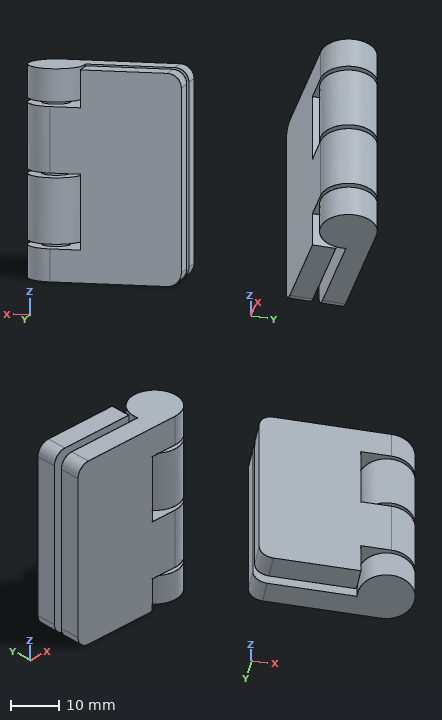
import cadquery as cq

height = 45.0
width = 34.0
barrel_diameter = 12.0

leaf_thickness = 5.0
corner_radius = 3.0
notch_clearance = 0.5

knuckle_gap = 1.0
pin_radius = 3.0

barrel_radius = barrel_diameter / 2
free_edge_x = barrel_radius - width
plate_end_x = -(barrel_radius + notch_clearance)
full_knuckle = (height - 3 * knuckle_gap) / 3
end_knuckle = full_knuckle / 2


def box(x_start, x_end, y_start, y_end, z_start, z_end):
    size = (x_end - x_start, y_end - y_start, z_end - z_start)
    return cq.Workplane("XY").box(*size, centered=False).translate((x_start, y_start, z_start))


def front_plate():
    """Flat leaf with its two free corners rounded."""
    plate = box(free_edge_x, plate_end_x, -barrel_radius, leaf_thickness - barrel_radius, 0, height)
    return plate.edges("|Y and <X").fillet(corner_radius)


def front_knuckle(bottom, length):
    """Barrel section joined to the leaf along its tangent, with a square inner shoulder."""
    barrel = cq.Workplane("XY").workplane(offset=bottom).circle(barrel_radius).extrude(length)
    bridge = box(plate_end_x, 0, -barrel_radius, leaf_thickness - barrel_radius, bottom, bottom + length)
    shoulder = box(-barrel_radius, 0, -barrel_radius, 0, bottom, bottom + length)
    return barrel.union(bridge).union(shoulder)


front_leaf = front_plate()
rear_leaf = front_plate().mirror("XZ")

bottom = 0
for index, length in enumerate((end_knuckle, full_knuckle, full_knuckle, end_knuckle)):
    knuckle = front_knuckle(bottom, length)
    if index % 2 == 0:
        rear_leaf = rear_leaf.union(knuckle.mirror("XZ"))
    else:
        front_leaf = front_leaf.union(knuckle)
    bottom += length + knuckle_gap

pin = cq.Workplane("XY").circle(pin_radius).extrude(height)

result = front_leaf.union(pin).union(rear_leaf).clean()